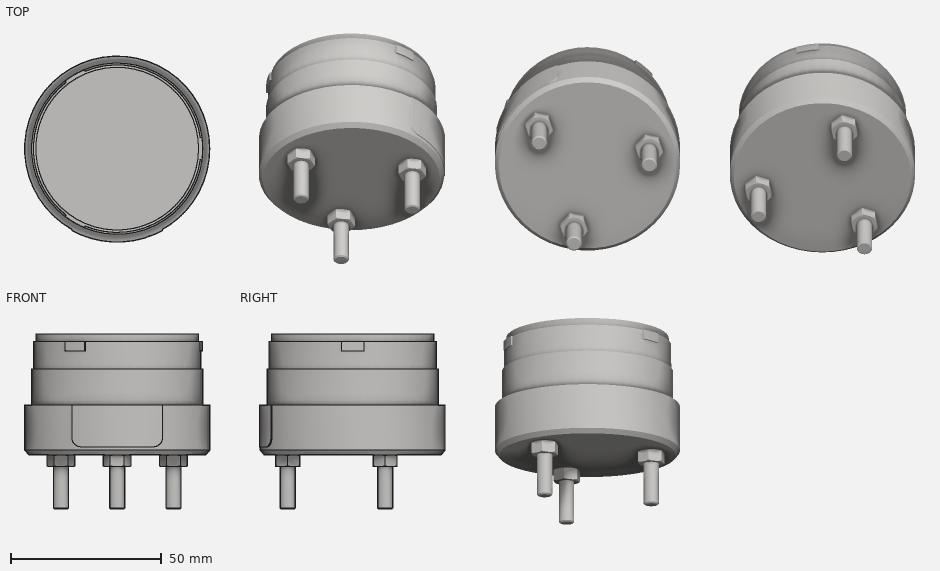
import cadquery as cq
import math

base_diameter = 61.4
base_radius = base_diameter / 2
base_top = 16.5
base_chamfer_width = 1.35
base_chamfer_height = 1.55
ring_radius = 28.4
ring_top = 28.5
collar_radius = 27.8
collar_top = 37.6
cap_radius = 26.95
cap_top = 40.05

panel_relief = 0.3
panel_width = 30.05
panel_bottom = 2.65
panel_corner_radius = 3.0

tab_count = 3
tab_width = 7.4
tab_height = 3.15
tab_outer_radius = 28.3

stud_count = 3
first_stud_angle = 30
stud_circle_radius = 21.55
stud_radius = 2.5
stud_length = 18.0
stud_tip_chamfer = 0.45
nut_across_flats = 8
nut_height = 3.95
nut_chamfer_width = 0.55
nut_chamfer_height = 0.3


def cylinder(radius, bottom, top):
    return cq.Workplane("XY", origin=(0, 0, bottom)).circle(radius).extrude(top - bottom)


def revolve_profile(points):
    """Turn a closed outline of (radius, height) points around the Z axis."""
    return cq.Workplane("XZ").polyline(points).close().revolve(360, (0, 0, 0), (0, 1, 0))


def make_body():
    profile = [
        (0, 0),
        (base_radius - base_chamfer_width, 0),
        (base_radius, base_chamfer_height),
        (base_radius, base_top),
        (ring_radius, base_top),
        (ring_radius, ring_top),
        (collar_radius, ring_top),
        (collar_radius, collar_top),
        (cap_radius, collar_top),
        (cap_radius, cap_top),
        (0, cap_top),
    ]
    return revolve_profile(profile)


def make_panel():
    """Thin curved skin that follows the base, with its two lower corners rounded."""
    outer_radius = base_radius + panel_relief
    height = base_top - panel_bottom
    outline = (
        cq.Workplane("XZ")
        .center(0, panel_bottom + height / 2)
        .rect(panel_width, height)
        .extrude(outer_radius)
        .edges("|Y and <Z")
        .fillet(panel_corner_radius)
    )
    skin = cylinder(outer_radius, panel_bottom, base_top).cut(cylinder(ring_radius, panel_bottom, base_top))
    return skin.intersect(outline)


def make_tab():
    """Tab on the +X side; the block starts at the axis so that it fuses with the collar."""
    bottom = collar_top - tab_height
    block = (
        cq.Workplane("XY", origin=(0, 0, bottom))
        .rect(tab_outer_radius, tab_width)
        .extrude(tab_height)
        .translate((tab_outer_radius / 2, 0, 0))
    )
    return block.intersect(cylinder(tab_outer_radius, bottom, collar_top))


def make_nut():
    """Hexagon nut with corners along X, its corners turned down at both ends."""
    across_corners = nut_across_flats / math.cos(math.pi / 6)
    hexagon = cq.Workplane("XY").polygon(6, across_corners).extrude(-nut_height)
    corner_radius = across_corners / 2
    face_radius = corner_radius - nut_chamfer_width
    turned_profile = [
        (0, 0),
        (face_radius, 0),
        (corner_radius, -nut_chamfer_height),
        (corner_radius, nut_chamfer_height - nut_height),
        (face_radius, -nut_height),
        (0, -nut_height),
    ]
    turned = revolve_profile(turned_profile)
    return hexagon.intersect(turned)


def make_stud():
    return cylinder(stud_radius, -stud_length, 0).faces("<Z").chamfer(stud_tip_chamfer)


result = make_body().union(make_panel())

for index in range(tab_count):
    angle = index * 360 / tab_count
    result = result.union(make_tab().rotate((0, 0, 0), (0, 0, 1), angle))

stud_with_nut = make_stud().union(make_nut())
for index in range(stud_count):
    angle = math.radians(first_stud_angle + index * 360 / stud_count)
    place = (stud_circle_radius * math.cos(angle), stud_circle_radius * math.sin(angle), 0)
    result = result.union(stud_with_nut.translate(place))